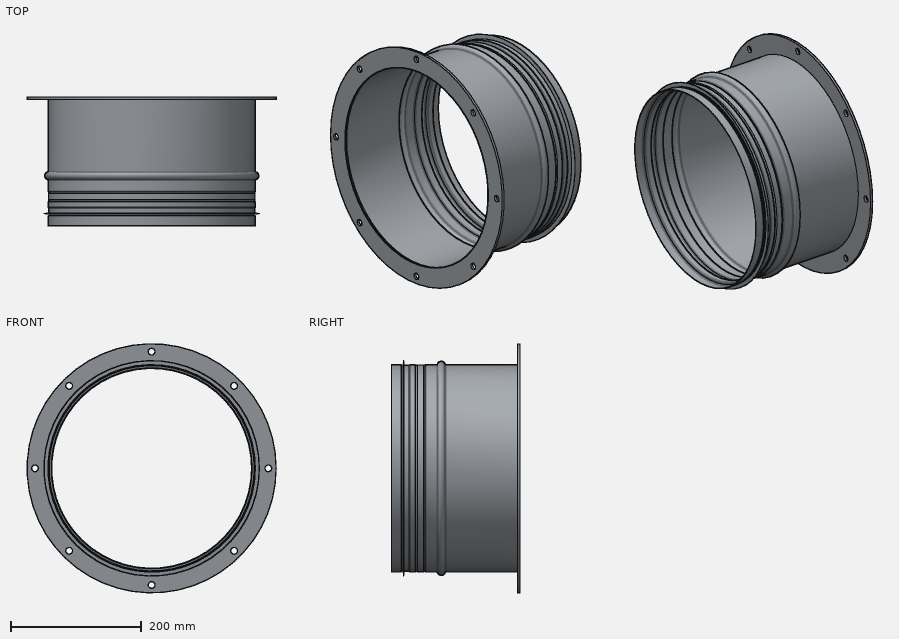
import cadquery as cq
import math

LENGTH = 197.0
FRONT_Y = -LENGTH / 2
BACK_Y = LENGTH / 2

FLANGE_DIAMETER = 381.0
FLANGE_THICKNESS = 4.2
BOLT_CIRCLE_DIAMETER = 356.5
BOLT_HOLE_DIAMETER = 10.0
BOLT_COUNT = 8

PIPE_OUTER_DIAMETER = 317.5
PIPE_BORE_DIAMETER = 315.5
PIPE_RADIUS = PIPE_OUTER_DIAMETER / 2
PIPE_SETBACK = 1.0
PIPE_END_Y = BACK_Y - PIPE_SETBACK
SHEET = (PIPE_OUTER_DIAMETER - PIPE_BORE_DIAMETER) / 2

BEAD_Y = -22.0
BEAD_HEIGHT = 5.5
BEAD_RADIUS = 6.5
BEAD_FOOT_RADIUS = 0.57
BEAD_CENTER_RADIUS = PIPE_RADIUS + BEAD_HEIGHT - BEAD_RADIUS

BAND_FLOOR_RADIUS = 312.0 / 2
BAND_WALLS = (-47.0, -61.5)
BAND_LIP_RADIUS = 1.35
FIN_FLOOR_RADIUS = 153.5
FIN_WALLS = (-71.2, -82.5)
FIN_LIP_RADIUS = 2.0
FLOOR_BEND_RADIUS = 0.95

BAND_SEAL_RADIUS = 316.5 / 2
BAND_BEVEL = 2.5
FIN_SEAL_RADIUS = 315.5 / 2
FIN_RADIUS = 329.5 / 2
FIN_TIP_THICKNESS = 0.5
FIN_ROOT_THICKNESS = 1.35
FIN_LEAN = 0.5
FIN_FRONT_Y = -80.5

DIAGONAL = math.sqrt(0.5)


def revolve_about_y(outline):
    """Revolve a closed outline of (radius, y) points about the duct axis."""
    return outline.close().revolve(360, (0, 0, 0), (0, 1, 0))


def add_bead(path, inset):
    """Continue the path, running toward -Y, over the bead and its two rounded feet.

    The inset is the depth of the traced surface below the outer surface of the sheet.
    """
    base = PIPE_RADIUS - inset
    foot = BEAD_FOOT_RADIUS + inset
    crest = BEAD_RADIUS - inset
    span = BEAD_RADIUS + BEAD_FOOT_RADIUS
    foot_rise = PIPE_RADIUS + BEAD_FOOT_RADIUS - BEAD_CENTER_RADIUS
    foot_offset = math.sqrt(span**2 - foot_rise**2)
    lean = math.asin(foot_rise / span)
    swing = (math.pi / 2 - lean) / 2
    join = (BEAD_CENTER_RADIUS + crest * math.sin(lean), crest * math.cos(lean))
    middle = (base + foot * (1 - math.cos(swing)), foot_offset - foot * math.sin(swing))
    return (
        path.lineTo(base, BEAD_Y + foot_offset)
        .threePointArc((middle[0], BEAD_Y + middle[1]), (join[0], BEAD_Y + join[1]))
        .threePointArc((BEAD_CENTER_RADIUS + crest, BEAD_Y), (join[0], BEAD_Y - join[1]))
        .threePointArc((middle[0], BEAD_Y - middle[1]), (base, BEAD_Y - foot_offset))
    )


def add_groove(path, inset, walls, floor_radius, lip_radius):
    """Continue the path, running toward -Y, through a groove with rounded lips and floor bends."""
    top = PIPE_RADIUS - inset
    floor = floor_radius - inset
    lip = lip_radius - inset
    bend = FLOOR_BEND_RADIUS + inset
    start = walls[0] + inset
    end = walls[1] - inset
    lip_rise = lip * (1 - DIAGONAL)
    bend_rise = bend * (1 - DIAGONAL)
    return (
        path.lineTo(top, start + lip)
        .threePointArc((top - lip_rise, start + lip_rise), (top - lip, start))
        .lineTo(floor + bend, start)
        .threePointArc((floor + bend_rise, start - bend_rise), (floor, start - bend))
        .lineTo(floor, end + bend)
        .threePointArc((floor + bend_rise, end + bend_rise), (floor + bend, end))
        .lineTo(top - lip, end)
        .threePointArc((top - lip_rise, end - lip_rise), (top, end - lip))
    )


def solid_to_surface(inset):
    """Solid bounded by the pipe surface lying the given depth below the outer surface."""
    path = cq.Workplane("XY").moveTo(0, PIPE_END_Y).lineTo(PIPE_RADIUS - inset, PIPE_END_Y)
    path = add_bead(path, inset)
    path = add_groove(path, inset, BAND_WALLS, BAND_FLOOR_RADIUS, BAND_LIP_RADIUS)
    path = add_groove(path, inset, FIN_WALLS, FIN_FLOOR_RADIUS, FIN_LIP_RADIUS)
    path = path.lineTo(PIPE_RADIUS - inset, FRONT_Y).lineTo(0, FRONT_Y)
    return revolve_about_y(path)


def make_pipe():
    """Sheet between the outer surface and the same surface one sheet thickness below it."""
    return solid_to_surface(0).cut(solid_to_surface(SHEET))


def make_flange():
    """Flat ring around the pipe end with a circle of bolt holes."""
    plate = (
        cq.Workplane("XZ", origin=(0, BACK_Y, 0))
        .circle(FLANGE_DIAMETER / 2)
        .circle(PIPE_RADIUS)
        .extrude(FLANGE_THICKNESS)
    )
    holes = (
        cq.Workplane("XZ", origin=(0, BACK_Y, 0))
        .polarArray(BOLT_CIRCLE_DIAMETER / 2, 0, 360, BOLT_COUNT)
        .circle(BOLT_HOLE_DIAMETER / 2)
        .extrude(FLANGE_THICKNESS)
    )
    return plate.cut(holes)


def groove_fill(walls, floor_radius):
    """Start a seal outline that lies on a groove floor, from the front wall round to the back wall."""
    back, front = walls
    bend = FLOOR_BEND_RADIUS
    bend_rise = bend * (1 - DIAGONAL)
    return (
        cq.Workplane("XY")
        .moveTo(floor_radius + bend, front)
        .threePointArc((floor_radius + bend_rise, front + bend_rise), (floor_radius, front + bend))
        .lineTo(floor_radius, back - bend)
        .threePointArc((floor_radius + bend_rise, back - bend_rise), (floor_radius + bend, back))
    )


def make_band_seal():
    """Flat band filling the first groove, bevelled along both outer edges."""
    back, front = BAND_WALLS
    outline = (
        groove_fill(BAND_WALLS, BAND_FLOOR_RADIUS)
        .lineTo(BAND_SEAL_RADIUS, back - BAND_BEVEL)
        .lineTo(BAND_SEAL_RADIUS, front + BAND_BEVEL)
    )
    return revolve_about_y(outline)


def make_fin_seal():
    """Seal in the second groove with a thin, tapered sealing fin standing above the pipe."""
    back, front = FIN_WALLS
    wall_top = PIPE_RADIUS - FIN_LIP_RADIUS
    tip_front = FIN_FRONT_Y + FIN_LEAN
    outline = (
        groove_fill(FIN_WALLS, FIN_FLOOR_RADIUS)
        .lineTo(FIN_SEAL_RADIUS, back)
        .lineTo(FIN_SEAL_RADIUS, FIN_FRONT_Y + FIN_ROOT_THICKNESS)
        .lineTo(FIN_RADIUS, tip_front + FIN_TIP_THICKNESS)
        .lineTo(FIN_RADIUS, tip_front)
        .lineTo(wall_top, FIN_FRONT_Y)
        .lineTo(wall_top, front)
    )
    return revolve_about_y(outline)


flange = make_flange()
pipe = make_pipe()
band_seal = make_band_seal()
fin_seal = make_fin_seal()

result = cq.Compound.makeCompound([flange.val(), pipe.val(), band_seal.val(), fin_seal.val()])